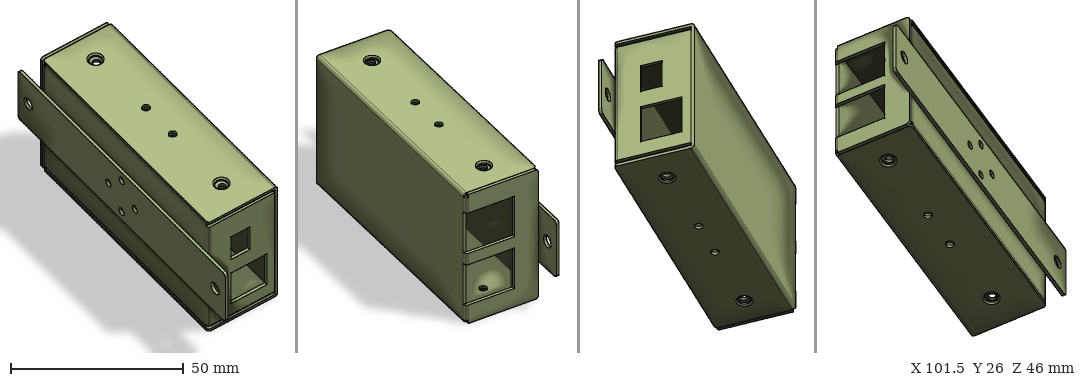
import cadquery as cq
import math


sheet = 1.0
bend_radius = 1.1
inner_bend_radius = bend_radius - sheet
corner_radius = 1.1

box_length = 82.0
box_depth = 25.0
box_height = 46.0
box_left = -box_length / 2
box_right = box_length / 2
box_top = box_height / 2

plate_length = 101.5
plate_height = 20.0
plate_center_z = 0.1
plate_corner_radius = 1.2
mount_hole_diameter = 4.0
mount_hole_spacing = 91.5
small_hole_diameter = 2.5
small_hole_count = 4
small_hole_circle = 13.0

cover_holes_x = -0.3
pair_diameter = 2.5
pair_spacing = 13.0
pair_y = 12.8
screw_spacing = 61.6
screw_y = 12.5
countersink_diameter = 5.0
cover_screw_diameter = 4.0
countersink_depth = 0.5
tray_screw_diameter = 2.46
tray_screw_x = 0.15

opening_front = 8.2
opening_height = 14.4
opening_gap = 4.0
opening_z = (opening_gap + opening_height) / 2

upper_window_depth = 6.8
upper_window_bottom = 2.5
upper_window_top = 12.0
lower_window_depth = 12.9
lower_window_bottom = -16.1
lower_window_top = -3.2

tray_left = box_left + sheet
tray_top = box_top - sheet
tray_back = box_depth - bend_radius
tray_length = box_right - tray_left
tray_center_x = (tray_left + box_right) / 2
tray_height = 2 * tray_top


def block(x0, x1, y0, y1, z0, z1):
    """Rectangular block between two opposite corners."""
    center = ((x0 + x1) / 2, (y0 + y1) / 2, (z0 + z1) / 2)
    return cq.Workplane("XY").box(abs(x1 - x0), abs(y1 - y0), abs(z1 - z0)).translate(center)


def cross_holes(diameter, center_x, spacing, y):
    """Two cutters along Z, through both the upper and the lower flange."""
    points = [(center_x - spacing / 2, y), (center_x + spacing / 2, y)]
    return (
        cq.Workplane("XY", origin=(0, 0, -box_top))
        .pushPoints(points)
        .circle(diameter / 2)
        .extrude(box_height)
    )


def make_plate():
    """Flat plate with two mounting holes and a cross of four small holes."""
    half_circle = small_hole_circle / 2
    half_mount = mount_hole_spacing / 2
    face = cq.Workplane("XZ", origin=(0, 0, plate_center_z))
    mount_holes = (
        face.pushPoints([(-half_mount, 0), (half_mount, 0)])
        .circle(mount_hole_diameter / 2)
        .extrude(sheet)
    )
    small_holes = (
        face.polarArray(half_circle, 0, 360, small_hole_count)
        .circle(small_hole_diameter / 2)
        .extrude(sheet)
    )
    plate = face.rect(plate_length, plate_height).extrude(sheet)
    plate = plate.edges("|Y").fillet(plate_corner_radius)
    return plate.cut(mount_holes).cut(small_holes)


def make_tray():
    """Front panel with four walls bent back from it and open corners between them."""
    outer = block(tray_left, box_right, 0, tray_back, -tray_top, tray_top)
    outer = outer.faces("<Y").edges().fillet(bend_radius)
    inner = block(
        tray_left + sheet, box_right - sheet, sheet, tray_back, -tray_top + sheet, tray_top - sheet
    )
    inner = inner.faces("<Y").edges().fillet(inner_bend_radius)
    tray = outer.cut(inner)

    corners = (
        cq.Workplane("XZ", origin=(tray_center_x, 0, 0))
        .rect(tray_length - bend_radius, tray_height - bend_radius, forConstruction=True)
        .vertices()
        .rect(bend_radius, bend_radius)
        .extrude(-tray_back)
    )
    tray = tray.cut(corners)

    tray = tray.cut(
        block(
            tray_left,
            tray_left + sheet,
            opening_front,
            tray_back,
            -tray_top + bend_radius,
            tray_top - bend_radius,
        )
    )

    for depth, bottom, top in (
        (upper_window_depth, upper_window_bottom, upper_window_top),
        (lower_window_depth, lower_window_bottom, lower_window_top),
    ):
        tray = tray.cut(
            block(box_right - sheet, box_right, opening_front, opening_front + depth, bottom, top)
        )

    tray = tray.cut(cross_holes(pair_diameter, cover_holes_x, pair_spacing, pair_y))
    return tray.cut(cross_holes(tray_screw_diameter, tray_screw_x, screw_spacing, screw_y))


def end_openings(x0, x1):
    """Cutters for the two openings, running out through the back edge."""
    cutters = cq.Workplane("XY")
    for z in (-opening_z, opening_z):
        cutters = cutters.add(
            block(x0, x1, opening_front, box_depth, z - opening_height / 2, z + opening_height / 2)
        )
    return cutters.combine()


def end_flange_slits():
    """Slits that part the left flange from its neighbours, with square reliefs where the bends meet."""
    bend_start = box_depth - bend_radius
    slit_left = box_left + sheet
    slits = cq.Workplane("XY")
    for side in (-1, 1):
        edge = side * box_top
        slits = slits.add(
            block(slit_left, box_left + bend_radius, 0, bend_start, edge - side * sheet, edge)
        )
        slits = slits.add(
            block(
                box_left, box_left + bend_radius, bend_start, box_depth, edge - side * bend_radius, edge
            )
        )
    return slits.combine()


def rounding_cutter(plane, depth, u, v, u_sign):
    """Waste outside a rounded corner at (u, v); the flange lies toward u_sign and +v."""
    diagonal = corner_radius * (1 - math.sqrt(0.5))
    return (
        cq.Workplane(plane)
        .moveTo(u, v)
        .lineTo(u + u_sign * corner_radius, v)
        .threePointArc(
            (u + u_sign * diagonal, v + diagonal),
            (u, v + corner_radius),
        )
        .close()
        .extrude(depth)
    )


def end_flange_corners():
    """Rounds the upper and lower front corners of the left flange."""
    plane = cq.Plane(origin=(box_left, 0, 0), xDir=(0, 0, 1), normal=(-1, 0, 0))
    corners = cq.Workplane("XY")
    for side in (-1, 1):
        corners = corners.add(rounding_cutter(plane, -sheet, side * box_top, 0, -side))
    return corners.combine()


def side_flange_corners():
    """Rounds both front corners of the upper and lower flanges."""
    flange_left = box_left + bend_radius
    corners = cq.Workplane("XY")
    for z in (-box_top, box_top - sheet):
        plane = cq.Plane(origin=(0, 0, z))
        corners = corners.add(rounding_cutter(plane, sheet, flange_left, 0, 1))
        corners = corners.add(rounding_cutter(plane, sheet, box_right, 0, -1))
    return corners.combine()


def countersinks():
    """Conical cutters on the outer faces of the upper and lower flanges."""
    cones = cq.Workplane("XY")
    for side in (-1, 1):
        for x in (cover_holes_x - screw_spacing / 2, cover_holes_x + screw_spacing / 2):
            cones = cones.add(
                cq.Workplane(
                    cq.Solid.makeCone(
                        countersink_diameter / 2,
                        cover_screw_diameter / 2,
                        countersink_depth,
                        pnt=cq.Vector(x, screw_y, side * box_top),
                        dir=cq.Vector(0, 0, -side),
                    )
                )
            )
    return cones.combine()


def make_cover():
    """Back panel with flanges bent forward along the left, upper and lower edges."""
    outer = block(box_left, box_right, 0, box_depth, -box_top, box_top)
    outer = outer.faces(">Y").edges("<X or |X").fillet(bend_radius)
    inner = block(
        box_left + sheet, box_right, 0, box_depth - sheet, -box_top + sheet, box_top - sheet
    )
    inner = inner.faces(">Y").edges("<X or |X").fillet(inner_bend_radius)
    cover = outer.cut(inner)
    cover = cover.cut(end_openings(box_left, box_left + bend_radius))
    cover = cover.cut(cross_holes(pair_diameter, cover_holes_x, pair_spacing, pair_y))
    cover = cover.cut(cross_holes(cover_screw_diameter, cover_holes_x, screw_spacing, screw_y))
    for cutter in (end_flange_slits(), end_flange_corners(), side_flange_corners(), countersinks()):
        cover = cover.cut(cutter)
    return cover


plate = make_plate()
tray = make_tray()
cover = make_cover()

result = cq.Compound.makeCompound([plate.val(), tray.val(), cover.val()])